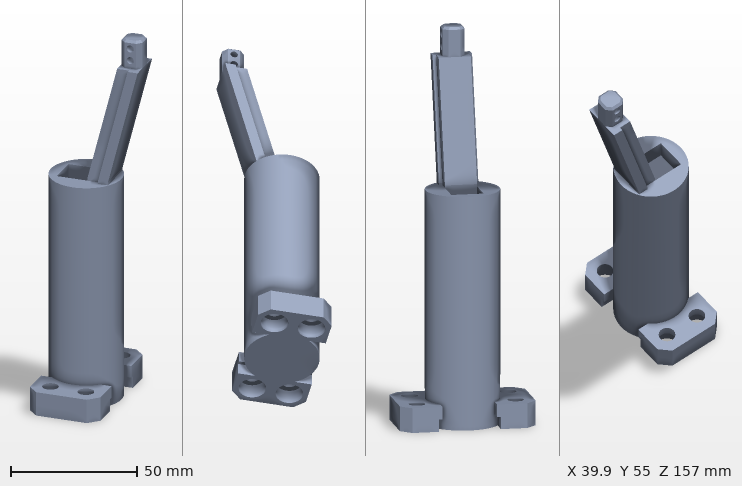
import cadquery as cq

total_height = 157.0
total_length = 39.9
total_width = 55.0

housing_diameter = 30.0
housing_height = 95.0
pocket_depth = 8.0
pocket_width = 13.0
pocket_start_x = -10.0
pocket_floor_z = housing_height - pocket_depth

clamp_height = 10.0
clamp_length = housing_diameter
clamp_corner = 4.2
lip_offset = 11.0
heel_offset = 12.5
lip_underside_z = clamp_height / 2
clamp_hole_diameter = 6.6
clamp_counterbore_diameter = 11.0
clamp_counterbore_depth = 6.5
clamp_hole_spacing = 15.0
clamp_hole_offset = 20.0

lever_start_x = 3.0
web_thickness = 5.0
flange_thickness = 4.2
web_width = pocket_width
flange_width = 16.0
bend_z = housing_height + 1.0

head_size = 9.0
head_height = 12.0
head_corner = 2.0
head_top_chamfer = 1.0
head_hole_diameter = 3.0
head_hole_depths = (3.5, 8.5)

head_base_z = total_height - head_height
far_end_x = total_length - housing_diameter / 2
head_center_x = far_end_x - head_size / 2
flange_start_x = lever_start_x + web_thickness
lever_end_x = flange_start_x + flange_thickness
lever_shift = far_end_x - lever_end_x


def lever_strip(start_x, thickness, width):
    """Strip that rises straight out of the pocket, then leans towards +X."""
    end_x = start_x + thickness
    outline = [
        (start_x, pocket_floor_z),
        (end_x, pocket_floor_z),
        (end_x, bend_z),
        (end_x + lever_shift, head_base_z),
        (start_x + lever_shift, head_base_z),
        (start_x, bend_z),
    ]
    return cq.Workplane("XZ").polyline(outline).close().extrude(width / 2, both=True)


def make_lever():
    web = lever_strip(lever_start_x, web_thickness, web_width)
    flange = lever_strip(flange_start_x, flange_thickness, flange_width)
    return web.union(flange)


def make_clamp(angle):
    """Clamp with a lip along its inner edge and two screw holes, turned about Z from the +Y side."""
    outer_y = total_width / 2
    profile = [
        (heel_offset, 0),
        (outer_y, 0),
        (outer_y, clamp_height),
        (lip_offset, clamp_height),
        (lip_offset, lip_underside_z),
        (heel_offset, lip_underside_z),
    ]
    clamp = cq.Workplane("YZ").polyline(profile).close().extrude(clamp_length / 2, both=True)
    clamp = clamp.faces(">Y").edges("|Z").chamfer(clamp_corner)
    hole_centers = [(side * clamp_hole_spacing / 2, clamp_hole_offset) for side in (-1, 1)]
    screw_sites = cq.Workplane("XY").pushPoints(hole_centers)
    holes = screw_sites.circle(clamp_hole_diameter / 2).extrude(clamp_height)
    counterbores = screw_sites.circle(clamp_counterbore_diameter / 2).extrude(clamp_counterbore_depth)
    return clamp.cut(holes).cut(counterbores).rotate((0, 0, 0), (0, 0, 1), angle)


def make_housing(lever, clamps):
    """Cylinder with a top pocket, a seat for the lever and grooves for the clamps."""
    housing = cq.Workplane("XY").circle(housing_diameter / 2).extrude(housing_height)
    pocket_length = lever_start_x - pocket_start_x
    pocket = cq.Workplane("XY").box(pocket_length, pocket_width, pocket_depth, centered=(False, True, False))
    pocket = pocket.translate((pocket_start_x, 0, pocket_floor_z))
    housing = housing.cut(pocket).cut(lever)
    for clamp in clamps:
        housing = housing.cut(clamp)
    return housing


def make_head():
    head = (
        cq.Workplane("XY", origin=(head_center_x, 0, head_base_z))
        .rect(head_size, head_size)
        .extrude(head_height)
        .edges("|Z")
        .chamfer(head_corner)
        .faces(">Z")
        .chamfer(head_top_chamfer)
    )
    cross_holes = (
        cq.Workplane("XZ")
        .pushPoints([(head_center_x, total_height - depth) for depth in head_hole_depths])
        .circle(head_hole_diameter / 2)
        .extrude(head_size, both=True)
    )
    return head.cut(cross_holes)


lever = make_lever()
clamps = [make_clamp(angle) for angle in (0, 180)]
housing = make_housing(lever, clamps)
head = make_head()

result = cq.Compound.makeCompound(
    [housing.val(), lever.val(), head.val(), *[clamp.val() for clamp in clamps]]
)